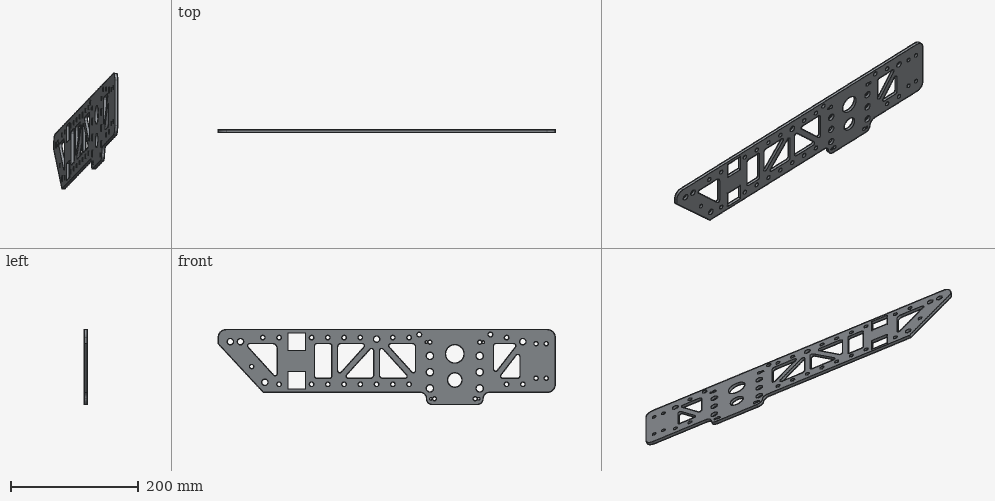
import cadquery as cq

INCH = 25.4

LENGTH = 20.75 * INCH
THICKNESS = 0.1875 * INCH
BEAM_HEIGHT = 3.875 * INCH
END_RADIUS = 0.5 * INCH
NOSE_LENGTH = 2.78125 * INCH
NOSE_FACE_HEIGHT = 0.875 * INCH

TAB_CENTER_X = 14.5625 * INCH
TAB_WIDTH = 3.5 * INCH
TAB_ROOT_RADIUS = 0.375 * INCH
TAB_CORNER_RADIUS = 0.375 * INCH
TAB_DROP = TAB_ROOT_RADIUS + TAB_CORNER_RADIUS

PITCH = 1.0 * INCH
EDGE_MARGIN = 0.5 * INCH
ROW_START_X = 2.75 * INCH
UPPER_ROW_STEPS = (0, 1, 3, 4, 5, 6, 8, 9, 15)
LOWER_ROW_STEPS = (1, 3, 4, 5, 6, 7, 8, 9, 15, 16)
ROW_HOLE_DIAMETER = 0.265625 * INCH
TOP_ROW_Z = BEAM_HEIGHT - EDGE_MARGIN

PIVOT_DIAMETER = 0.375 * INCH
PIVOT_Z = BEAM_HEIGHT - 0.75 * INCH
NOSE_PIVOT_X = (0.75 * INCH, 1.375 * INCH)
TAIL_PIVOT_STEP = 16
TAIL_PIVOT_X = ROW_START_X + TAIL_PIVOT_STEP * PITCH
NOSE_LOWER_PIVOT = (2.875 * INCH, 0.625 * INCH)
TRUSS_PIVOT_STEP = 7
TRUSS_PIVOT_X = ROW_START_X + TRUSS_PIVOT_STEP * PITCH
TRUSS_PIVOT_Z = BEAM_HEIGHT - 0.59375 * INCH
NOSE_SMALL_HOLE = (2.0625 * INCH, 1.59375 * INCH)
NOSE_SMALL_DIAMETER = 0.25 * INCH

TAIL_HOLE_X = (LENGTH - 1.1875 * INCH, LENGTH - 0.5625 * INCH)
TAIL_HOLE_MARGIN = 0.875 * INCH
TAIL_HOLE_DIAMETER = 0.25 * INCH

UPPER_BORE_Z = 2.375 * INCH
UPPER_BORE_DIAMETER = 1.125 * INCH
LOWER_BORE_Z = 0.765625 * INCH
LOWER_BORE_DIAMETER = 0.875 * INCH
MOUNT_OFFSET = 1.53125 * INCH
MOUNT_START_Z = 0.25 * INCH
MOUNT_COUNT = 3
MOUNT_DIAMETER = 0.4375 * INCH
GUARD_OFFSET = 2.1875 * INCH
GUARD_Z = BEAM_HEIGHT - 0.3125 * INCH
GUARD_DIAMETER = 0.28125 * INCH

SCREW_DIAMETER = 0.234375 * INCH
LOCATOR_DIAMETER = 0.15 * INCH
LOCATOR_SPACING = 0.21875 * INCH
UPPER_SCREW_OFFSET = 1.53125 * INCH
UPPER_SCREW_Z = BEAM_HEIGHT - 0.78125 * INCH
LOWER_SCREW_OFFSET = 1.25 * INCH
LOWER_SCREW_Z = -0.390625 * INCH

SQUARE_SIZE = 1.0625 * INCH
SQUARE_CENTER_X = 4.84375 * INCH
SQUARE_MARGIN = 0.21875 * INCH

WINDOW_MARGIN = 0.875 * INCH
WINDOW_BOTTOM = WINDOW_MARGIN
WINDOW_TOP = BEAM_HEIGHT - WINDOW_MARGIN
WINDOW_RADIUS = 0.125 * INCH
SLOT_LEFT_X = 5.9375 * INCH
SLOT_WIDTH = 1.046875 * INCH
NOSE_WINDOW_X = 3.625 * INCH
NOSE_WINDOW_LEG_X = 1.96875 * INCH
NOSE_WINDOW_LEG_Z = 2.165 * INCH
NOSE_WINDOW_RADIUS = 0.28125 * INCH
TRUSS_POST_HALF_WIDTH = 0.1875 * INCH
TRUSS_HALF_SPAN = 2.390625 * INCH
TRUSS_UPPER_LEG_X = 1.795 * INCH
TRUSS_UPPER_LEG_Z = 1.985 * INCH
TRUSS_LOWER_LEG_X = 1.84 * INCH
TRUSS_LOWER_LEG_Z = 2.025 * INCH
TRUSS_RADIUS = 0.1875 * INCH
TAIL_LEFT_X = 16.953125 * INCH
TAIL_RIGHT_X = 18.5625 * INCH
TAIL_UPPER_LEG_X = 1.49 * INCH
TAIL_UPPER_LEG_Z = 1.935 * INCH
TAIL_LOWER_LEG_X = 1.31 * INCH
TAIL_LOWER_LEG_Z = 1.7 * INCH


def sketch():
    """Workplane on the front face (Y = 0) with local axes along X and Z."""
    return cq.Workplane("XZ")


def cut_through(outline):
    """Turn a closed outline or circles into a cutter through the plate."""
    return outline.extrude(-THICKNESS)


def round_holes(points, diameter):
    return cut_through(sketch().pushPoints(points).circle(diameter / 2))


def rectangle_window(left, bottom, width, height, radius=0):
    center = (left + width / 2, bottom + height / 2)
    window = cut_through(sketch().center(*center).rect(width, height))
    if radius:
        window = window.edges("|Y").fillet(radius)
    return window


def triangle_window(corner, legs, corner_radius=WINDOW_RADIUS):
    """Right triangle with signed legs from its square corner, which has its own radius."""
    corner_x, corner_z = corner
    leg_x, leg_z = legs
    corners = [corner, (corner_x + leg_x, corner_z), (corner_x, corner_z + leg_z)]
    window = cut_through(sketch().polyline(corners).close())
    radii = (corner_radius, WINDOW_RADIUS, WINDOW_RADIUS)
    for (x, z), radius in zip(corners, radii):
        nearest_edge = cq.selectors.NearestToPointSelector((x, THICKNESS / 2, z))
        window = window.edges("|Y").edges(nearest_edge).fillet(radius)
    return window


def mirrored(offset, z):
    """Two points placed symmetrically about the tab centre line."""
    return [(TAB_CENTER_X - offset, z), (TAB_CENTER_X + offset, z)]


def make_plate():
    """Beam with a sloped nose, rounded ends and the blended motor tab."""
    tab_left = TAB_CENTER_X - TAB_WIDTH / 2
    tab_right = TAB_CENTER_X + TAB_WIDTH / 2
    outline = (
        sketch()
        .moveTo(NOSE_LENGTH, 0)
        .lineTo(tab_left - TAB_ROOT_RADIUS, 0)
        .tangentArcPoint((tab_left, -TAB_ROOT_RADIUS), relative=False)
        .tangentArcPoint((tab_left + TAB_CORNER_RADIUS, -TAB_DROP), relative=False)
        .lineTo(tab_right - TAB_CORNER_RADIUS, -TAB_DROP)
        .tangentArcPoint((tab_right, -TAB_ROOT_RADIUS), relative=False)
        .tangentArcPoint((tab_right + TAB_ROOT_RADIUS, 0), relative=False)
        .lineTo(LENGTH - END_RADIUS, 0)
        .tangentArcPoint((LENGTH, END_RADIUS), relative=False)
        .lineTo(LENGTH, BEAM_HEIGHT - END_RADIUS)
        .tangentArcPoint((LENGTH - END_RADIUS, BEAM_HEIGHT), relative=False)
        .lineTo(END_RADIUS, BEAM_HEIGHT)
        .tangentArcPoint((0, BEAM_HEIGHT - END_RADIUS), relative=False)
        .lineTo(0, BEAM_HEIGHT - NOSE_FACE_HEIGHT)
        .close()
    )
    return cut_through(outline)


def row_holes():
    upper = [(ROW_START_X + step * PITCH, TOP_ROW_Z) for step in UPPER_ROW_STEPS]
    lower = [(ROW_START_X + step * PITCH, EDGE_MARGIN) for step in LOWER_ROW_STEPS]
    return [round_holes(upper + lower, ROW_HOLE_DIAMETER)]


def pivot_holes():
    upper = [(x, PIVOT_Z) for x in (*NOSE_PIVOT_X, TAIL_PIVOT_X)]
    pivots = upper + [NOSE_LOWER_PIVOT, (TRUSS_PIVOT_X, TRUSS_PIVOT_Z)]
    return [
        round_holes(pivots, PIVOT_DIAMETER),
        round_holes([NOSE_SMALL_HOLE], NOSE_SMALL_DIAMETER),
    ]


def tail_holes():
    heights = (TAIL_HOLE_MARGIN, BEAM_HEIGHT - TAIL_HOLE_MARGIN)
    points = [(x, z) for x in TAIL_HOLE_X for z in heights]
    return [round_holes(points, TAIL_HOLE_DIAMETER)]


def motor_holes():
    mounts = []
    for index in range(MOUNT_COUNT):
        mounts += mirrored(MOUNT_OFFSET, MOUNT_START_Z + index * PITCH)
    return [
        round_holes([(TAB_CENTER_X, UPPER_BORE_Z)], UPPER_BORE_DIAMETER),
        round_holes([(TAB_CENTER_X, LOWER_BORE_Z)], LOWER_BORE_DIAMETER),
        round_holes(mounts, MOUNT_DIAMETER),
        round_holes(mirrored(GUARD_OFFSET, GUARD_Z), GUARD_DIAMETER),
    ]


def screw_pairs():
    """Each screw hole has its locating hole on the side away from the tab centre."""
    pairs = ((UPPER_SCREW_OFFSET, UPPER_SCREW_Z), (LOWER_SCREW_OFFSET, LOWER_SCREW_Z))
    cutters = []
    for offset, z in pairs:
        cutters.append(round_holes(mirrored(offset, z), SCREW_DIAMETER))
        cutters.append(round_holes(mirrored(offset + LOCATOR_SPACING, z), LOCATOR_DIAMETER))
    return cutters


def tube_windows():
    left = SQUARE_CENTER_X - SQUARE_SIZE / 2
    bottoms = (SQUARE_MARGIN, BEAM_HEIGHT - SQUARE_MARGIN - SQUARE_SIZE)
    return [rectangle_window(left, bottom, SQUARE_SIZE, SQUARE_SIZE) for bottom in bottoms]


def nose_window():
    corner = (NOSE_WINDOW_X, WINDOW_TOP)
    return triangle_window(corner, (-NOSE_WINDOW_LEG_X, -NOSE_WINDOW_LEG_Z), NOSE_WINDOW_RADIUS)


def slot_window():
    return rectangle_window(SLOT_LEFT_X, WINDOW_BOTTOM, SLOT_WIDTH, WINDOW_TOP - WINDOW_BOTTOM, WINDOW_RADIUS)


def truss_windows():
    """Two triangles on each side of the central post, leaving diagonal ribs."""
    windows = []
    for side in (-1, 1):
        outer_corner = (TRUSS_PIVOT_X + side * TRUSS_HALF_SPAN, WINDOW_TOP)
        post_corner = (TRUSS_PIVOT_X + side * TRUSS_POST_HALF_WIDTH, WINDOW_BOTTOM)
        upper_legs = (-side * TRUSS_UPPER_LEG_X, -TRUSS_UPPER_LEG_Z)
        lower_legs = (side * TRUSS_LOWER_LEG_X, TRUSS_LOWER_LEG_Z)
        windows.append(triangle_window(outer_corner, upper_legs, TRUSS_RADIUS))
        windows.append(triangle_window(post_corner, lower_legs, TRUSS_RADIUS))
    return windows


def tail_windows():
    """Two triangles separated by one diagonal rib."""
    upper_legs = (TAIL_UPPER_LEG_X, -TAIL_UPPER_LEG_Z)
    lower_legs = (-TAIL_LOWER_LEG_X, TAIL_LOWER_LEG_Z)
    return [
        triangle_window((TAIL_LEFT_X, WINDOW_TOP), upper_legs),
        triangle_window((TAIL_RIGHT_X, WINDOW_BOTTOM), lower_legs),
    ]


def make_part():
    plate = make_plate()
    cutters = row_holes() + pivot_holes() + tail_holes() + motor_holes()
    cutters += screw_pairs() + tube_windows() + truss_windows() + tail_windows()
    cutters += [nose_window(), slot_window()]
    for cutter in cutters:
        plate = plate.cut(cutter)
    return plate


result = make_part()